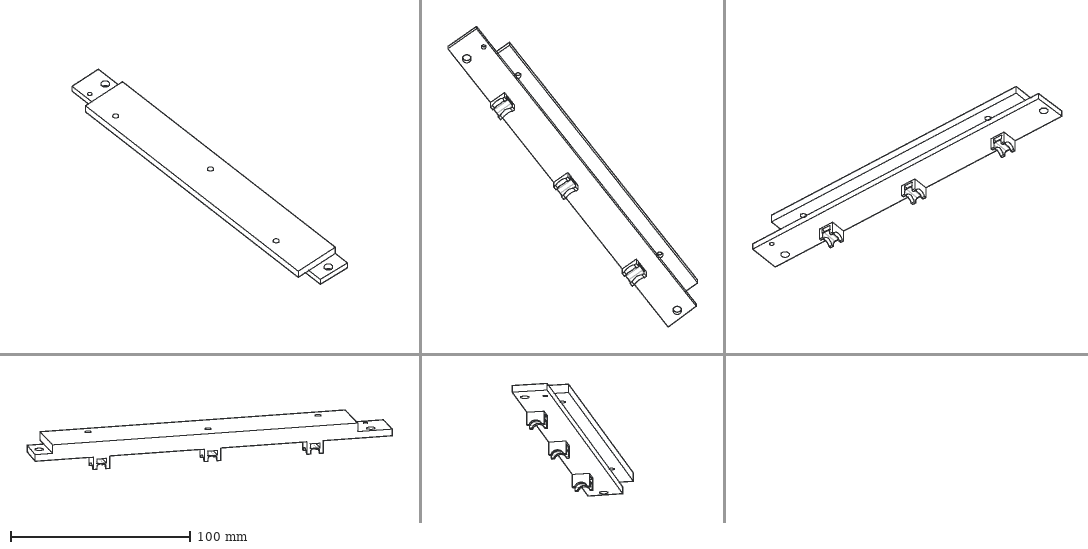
import cadquery as cq

LENGTH = 206.3
DEPTH = 28.0
HEIGHT = 16.0

BAR_START = 20.0
BAR_LENGTH = 176.2
BAR_THICK = 5.0

PLATE_DEPTH = 20.0
PLATE_THICK = 4.0
END_SKEW = 0.6

SCREW_DIA = 3.3
SCREW_CENTER_X = 103.8
SCREW_PITCH = 66.5
SCREW_FRONT_INSET = 7.0

MOUNT_DIA = 4.7
PIN_DIA = 2.5
LEFT_HOLES_X = 11.1
LEFT_MOUNT_INSET = 5.0
PIN_INSET = 16.7
RIGHT_MOUNT_INSET = 5.0

FOOT_CENTERS_X = (44.5, SCREW_CENTER_X, 168.0)
FOOT_WIDTH = 9.5
FOOT_DEPTH = 10.0
WINDOW_WIDTH = 5.5
WINDOW_HEIGHT = 2.7
WINDOW_DROP = 1.2

NOTCH_HEIGHT = 2.9
NOTCH_WIDTH = 5.2
NOTCH_CORNER_RADIUS = 1.2
SADDLE_HEIGHT = 2.5
SADDLE_WIDTH = 7.0

BAR_BOTTOM = HEIGHT - BAR_THICK
FOOT_HEIGHT = BAR_BOTTOM - PLATE_THICK
PLATE_FRONT = DEPTH - PLATE_DEPTH
PLATE_MID_Y = DEPTH - PLATE_DEPTH / 2


def make_bar():
    """Wide upper bar with three screw holes in a shallow triangle."""
    bar = cq.Workplane("XY").box(BAR_LENGTH, DEPTH, BAR_THICK, centered=False)
    bar = bar.translate((BAR_START, 0, BAR_BOTTOM))
    centers = [
        (SCREW_CENTER_X - SCREW_PITCH, SCREW_FRONT_INSET),
        (SCREW_CENTER_X, PLATE_MID_Y),
        (SCREW_CENTER_X + SCREW_PITCH, SCREW_FRONT_INSET),
    ]
    holes = (
        cq.Workplane("XY", origin=(0, 0, BAR_BOTTOM))
        .pushPoints(centers)
        .circle(SCREW_DIA / 2)
        .extrude(BAR_THICK)
    )
    return bar.cut(holes)


def make_plate():
    """Long lower plate with mounting and pin holes in its exposed ends."""
    outline = [
        (0, PLATE_FRONT),
        (LENGTH - END_SKEW, PLATE_FRONT),
        (LENGTH, DEPTH),
        (0, DEPTH),
    ]
    base = cq.Workplane("XY", origin=(0, 0, FOOT_HEIGHT))
    plate = base.polyline(outline).close().extrude(PLATE_THICK)
    mounts = [
        (LEFT_HOLES_X, DEPTH - LEFT_MOUNT_INSET),
        (LENGTH - RIGHT_MOUNT_INSET, PLATE_MID_Y),
    ]
    mount_holes = base.pushPoints(mounts).circle(MOUNT_DIA / 2).extrude(PLATE_THICK)
    pin_hole = (
        base.center(LEFT_HOLES_X, DEPTH - PIN_INSET)
        .circle(PIN_DIA / 2)
        .extrude(PLATE_THICK)
    )
    return plate.cut(mount_holes).cut(pin_hole)


def make_notch():
    """Round-cornered channel through the foot along Y."""
    block = cq.Workplane("XY").box(NOTCH_WIDTH, FOOT_DEPTH, NOTCH_HEIGHT, centered=(True, True, False))
    return block.edges("|Y and >Z").fillet(NOTCH_CORNER_RADIUS)


def make_saddle():
    """Arched cable groove through the foot along X."""
    return (
        cq.Workplane("YZ")
        .moveTo(-SADDLE_WIDTH / 2, 0)
        .threePointArc((0, SADDLE_HEIGHT), (SADDLE_WIDTH / 2, 0))
        .close()
        .extrude(FOOT_WIDTH / 2, both=True)
    )


def make_foot():
    """Saddle foot centred on X = Y = 0: crossed channel and cable groove below, a tie window above."""
    foot = cq.Workplane("XY").box(FOOT_WIDTH, FOOT_DEPTH, FOOT_HEIGHT, centered=(True, True, False))
    window_center_z = FOOT_HEIGHT - WINDOW_DROP - WINDOW_HEIGHT / 2
    window = (
        cq.Workplane("XY")
        .box(WINDOW_WIDTH, FOOT_DEPTH, WINDOW_HEIGHT)
        .translate((0, 0, window_center_z))
    )
    return foot.cut(window).cut(make_notch()).cut(make_saddle())


result = make_bar().union(make_plate())
foot = make_foot()
for foot_x in FOOT_CENTERS_X:
    result = result.union(foot.translate((foot_x, DEPTH - FOOT_DEPTH / 2, 0)))